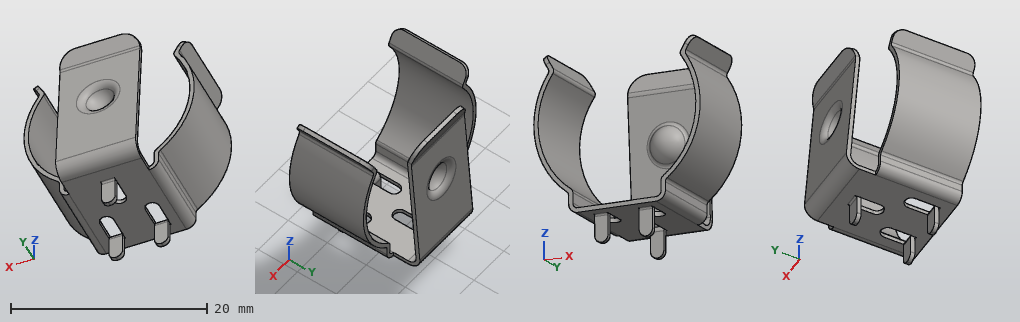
import cadquery as cq
import math

sheet = 0.5
pin_drop = 3.03
total_height = 20.6
top_z = total_height - pin_drop

arm_depth = 9.5
grip_outer_radius = 9.48
grip_inner_radius = grip_outer_radius - sheet
grip_center_z = 9.89
wall_outer_x = 5.52
wall_inner_x = wall_outer_x - sheet
bend_inner_radius = 0.58
bend_outer_radius = bend_inner_radius + sheet
arm_bend_radius = 0.5
lip_angle = math.radians(60)
lip_tip_x = 8.28
lip_tip_z = 17.43
lip_corner_radius = 1.2

plate_half_width = wall_outer_x - bend_outer_radius
plate_back_y = 12.9
plate_bend_inner_radius = 1.0
plate_bend_outer_radius = plate_bend_inner_radius + sheet
plate_lean = math.radians(4.5)
plate_kink_z = 15.43
plate_lip_lean = math.radians(15.5)
plate_corner_radius = 2.0

dimple_z = 9.66
dimple_height = 1.45
dimple_rim_radius = 2.43
dimple_blend_radius = 0.5

pin_width = 1.52
pin_spacing = 2.53
pin_tip_radius = pin_width / 2 - 0.002
pin_fold_inner_radius = 0.2
pin_fold_outer_radius = pin_fold_inner_radius + sheet
slot_length = 3.7
front_fold_y = 1.32
rear_fold_y = 9.87


def round_edge(solid, point, radius):
    """Fillet the edge whose midpoint lies nearest to the given point."""
    return solid.edges(cq.NearestToPointSelector(point)).fillet(radius)


def circle_height(radius, x):
    return math.sqrt(radius**2 - x**2)


def lip_meets_circle(x, z, radius):
    """Follow the lip line down from (x, z) to the grip circle of the given radius."""
    dx, dz = -math.cos(lip_angle), -math.sin(lip_angle)
    rise = z - grip_center_z
    along = x * dx + rise * dz
    distance = -along - math.sqrt(along**2 - x**2 - rise**2 + radius**2)
    return x + distance * dx, z + distance * dz


def make_arm():
    """Right half of the base with its wall, grip arc and flared lip."""
    outer_tip = (lip_tip_x + sheet * math.sin(lip_angle), lip_tip_z - sheet * math.cos(lip_angle))
    inner_waist = lip_meets_circle(lip_tip_x, lip_tip_z, grip_inner_radius)
    outer_waist = lip_meets_circle(*outer_tip, grip_outer_radius)
    inner_foot = (wall_inner_x, grip_center_z - circle_height(grip_inner_radius, wall_inner_x))
    outer_foot = (wall_outer_x, grip_center_z - circle_height(grip_outer_radius, wall_outer_x))
    arm = (
        cq.Workplane("XZ")
        .moveTo(0, 0)
        .lineTo(wall_outer_x, 0)
        .lineTo(*outer_foot)
        .threePointArc((grip_outer_radius, grip_center_z), outer_waist)
        .lineTo(*outer_tip)
        .lineTo(lip_tip_x, lip_tip_z)
        .lineTo(*inner_waist)
        .threePointArc((grip_inner_radius, grip_center_z), inner_foot)
        .lineTo(wall_inner_x, sheet)
        .lineTo(0, sheet)
        .close()
        .extrude(-arm_depth)
    )
    bends = [
        ((wall_outer_x, 0), bend_outer_radius),
        ((wall_inner_x, sheet), bend_inner_radius),
        (outer_foot, arm_bend_radius),
        (inner_foot, arm_bend_radius),
        (outer_waist, arm_bend_radius),
        (inner_waist, arm_bend_radius),
    ]
    for (x, z), radius in bends:
        arm = round_edge(arm, (x, arm_depth / 2, z), radius)
    tip_mid_x = (lip_tip_x + outer_tip[0]) / 2
    tip_mid_z = (lip_tip_z + outer_tip[1]) / 2
    for y in (0, arm_depth):
        arm = round_edge(arm, (tip_mid_x, y, tip_mid_z), lip_corner_radius)
    return arm


plate_bend_y = plate_back_y - plate_bend_outer_radius
plate_bend_z = plate_bend_outer_radius
plate_start_y = plate_bend_y + plate_bend_inner_radius * math.cos(plate_lean)
plate_start_z = plate_bend_z + plate_bend_inner_radius * math.sin(plate_lean)


def plate_front_y(z):
    return plate_start_y - (z - plate_start_z) * math.tan(plate_lean)


def make_plate():
    """Tongue behind the base, bent upward and kinked back at the top."""
    kink_y = plate_front_y(plate_kink_z)
    tip_y = kink_y + (top_z - plate_kink_z) * math.tan(plate_lip_lean)
    back_tip_y = tip_y + sheet * math.cos(plate_lip_lean)
    back_tip_z = top_z - sheet * math.sin(plate_lip_lean)
    half_turn = (plate_lean + plate_lip_lean) / 2
    mitre = sheet / math.cos(half_turn)
    mitre_angle = half_turn - plate_lean
    back_kink_y = kink_y + mitre * math.cos(mitre_angle)
    back_kink_z = plate_kink_z - mitre * math.sin(mitre_angle)

    def bend_point(radius, angle):
        return plate_bend_y + radius * math.cos(angle), plate_bend_z + radius * math.sin(angle)

    middle = (plate_lean - math.pi / 2) / 2
    plate = (
        cq.Workplane("YZ")
        .moveTo(arm_depth / 2, 0)
        .lineTo(plate_bend_y, 0)
        .threePointArc(
            bend_point(plate_bend_outer_radius, middle), bend_point(plate_bend_outer_radius, plate_lean)
        )
        .lineTo(back_kink_y, back_kink_z)
        .lineTo(back_tip_y, back_tip_z)
        .lineTo(tip_y, top_z)
        .lineTo(kink_y, plate_kink_z)
        .lineTo(plate_start_y, plate_start_z)
        .threePointArc(bend_point(plate_bend_inner_radius, middle), (plate_bend_y, sheet))
        .lineTo(arm_depth / 2, sheet)
        .close()
        .extrude(plate_half_width, both=True)
    )
    plate = round_edge(plate, (0, kink_y, plate_kink_z), plate_bend_outer_radius)
    plate = round_edge(plate, (0, back_kink_y, back_kink_z), plate_bend_inner_radius)
    for x in (-plate_half_width, plate_half_width):
        corner = (x, (tip_y + back_tip_y) / 2, (top_z + back_tip_z) / 2)
        plate = round_edge(plate, corner, plate_corner_radius)
    return plate


def make_dimple():
    """Sheet dome with a blended rim; local Y is height in front of the plate's front face."""
    center_distance = (dimple_rim_radius**2 + dimple_height**2) / (2 * dimple_height)
    dome_radius = center_distance - dimple_blend_radius
    dome_center = dimple_height - dome_radius
    joint_angle = math.asin(dimple_rim_radius / center_distance)

    def dome_point(radius, angle):
        return radius * math.sin(angle), dome_center + radius * math.cos(angle)

    def rim_point(radius, angle):
        return dimple_rim_radius - radius * math.sin(angle), dimple_blend_radius - radius * math.cos(angle)

    inner_radius = dome_radius - sheet
    back_blend_radius = dimple_blend_radius + sheet
    profile = (
        cq.Workplane("XY")
        .moveTo(0, dimple_height)
        .threePointArc(dome_point(dome_radius, joint_angle / 2), dome_point(dome_radius, joint_angle))
        .threePointArc(rim_point(dimple_blend_radius, joint_angle / 2), (dimple_rim_radius, 0))
        .lineTo(dimple_rim_radius, -sheet)
        .threePointArc(
            rim_point(back_blend_radius, joint_angle / 2), dome_point(inner_radius, joint_angle)
        )
        .threePointArc(dome_point(inner_radius, joint_angle / 2), (0, dimple_height - sheet))
        .close()
    )
    return place_on_plate(profile.revolve(360, (0, 0), (0, 1)))


def place_on_plate(solid):
    """Turn local +Y to the plate's forward normal and move the origin to the dimple center."""
    tilt = 180 - math.degrees(plate_lean)
    placed = solid.rotate((0, 0, 0), (1, 0, 0), -tilt)
    return placed.translate((0, plate_front_y(dimple_z), dimple_z))


def make_dimple_hole():
    return place_on_plate(cq.Workplane("XZ").circle(dimple_rim_radius).extrude(2 * sheet, both=True))


def make_slot(x, fold_y, inward):
    """Opening left in the base by a pin: square at the fold, round at the far end."""
    half = pin_width / 2
    round_start = fold_y + inward * (slot_length - half)
    return (
        cq.Workplane("XY")
        .moveTo(x - half, fold_y)
        .lineTo(x - half, round_start)
        .threePointArc((x, fold_y + inward * slot_length), (x + half, round_start))
        .lineTo(x + half, fold_y)
        .close()
        .extrude(sheet)
    )


def make_pin(x, fold_y, inward):
    """Round-ended pin joined to the base by a quarter-turn fold."""
    near_y = fold_y + inward * pin_fold_inner_radius
    far_y = fold_y + inward * pin_fold_outer_radius
    diagonal = math.sqrt(0.5)
    fold_z = -pin_fold_inner_radius

    def fold_middle(radius):
        return fold_y + inward * radius * diagonal, fold_z + radius * diagonal

    pin = (
        cq.Workplane("YZ", origin=(x, 0, 0))
        .moveTo(fold_y, 0)
        .threePointArc(fold_middle(pin_fold_inner_radius), (near_y, fold_z))
        .lineTo(near_y, -pin_drop)
        .lineTo(far_y, -pin_drop)
        .lineTo(far_y, fold_z)
        .threePointArc(fold_middle(pin_fold_outer_radius), (fold_y, sheet))
        .close()
        .extrude(pin_width / 2, both=True)
    )
    for side in (-1, 1):
        corner = (x + side * pin_width / 2, (near_y + far_y) / 2, -pin_drop)
        pin = round_edge(pin, corner, pin_tip_radius)
    return pin


arm = make_arm()
result = arm.union(arm.mirror("YZ")).union(make_plate())
result = result.cut(make_dimple_hole()).union(make_dimple())

pins = [
    (-pin_spacing, front_fold_y, 1),
    (pin_spacing, front_fold_y, 1),
    (0, rear_fold_y, -1),
]
for pin in pins:
    result = result.cut(make_slot(*pin)).union(make_pin(*pin))